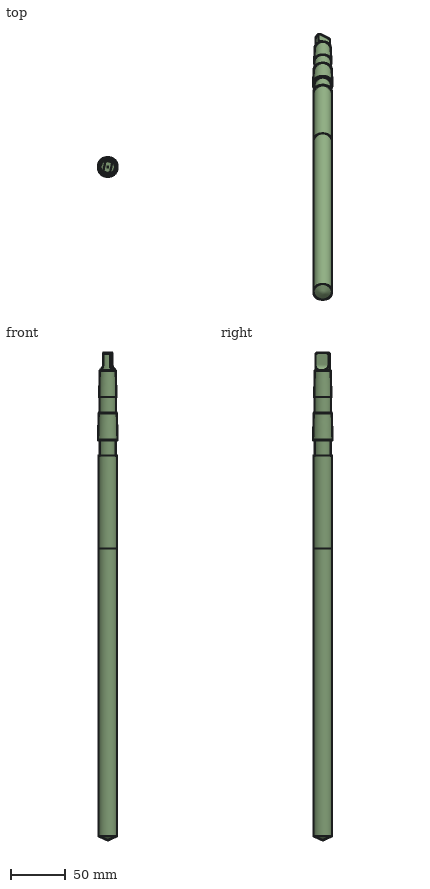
import cadquery as cq
import math

total_length = 445.0

drill_diameter = 17.0
point_angle = 130.0
cutting_length = 266.5

shank_length = 80.0
shank_large_diameter = 18.01
taper_ratio = 0.04995
neck_diameter = 15.0
neck_length = 14.0
relief_diameter = 15.5
relief_start = 40.5
relief_end = 54.8
shoulder_chamfer = 0.8
cone_edge_chamfer = 0.6

tang_length = 16.0
tang_thickness = 6.3
tang_diameter = 13.5
tang_angle = -12.0
tang_runout_radius = 4.8
tang_end_chamfer = 1.4
centre_hole_diameter = 0.6
centre_hole_depth = 3.0

drill_radius = drill_diameter / 2
point_height = drill_radius / math.tan(math.radians(point_angle / 2))
shank_bottom = total_length - shank_length
neck_bottom = shank_bottom - neck_length
tang_bottom = total_length - tang_length


def taper_radius(height):
    """Radius of the Morse cone at a height above the drill tip."""
    return (shank_large_diameter - taper_ratio * (height - shank_bottom)) / 2


def make_cutting_part():
    """Plain cylinder with a conical point."""
    outline = [
        (0, 0),
        (drill_radius, point_height),
        (drill_radius, cutting_length),
        (0, cutting_length),
    ]
    return cq.Workplane("XZ").polyline(outline).close().revolve(360, (0, 0), (0, 1))


def make_shank_blank():
    """Turned shank: body, neck, relieved taper and round tang."""
    neck_radius = neck_diameter / 2
    relief_radius = relief_diameter / 2
    tang_radius = tang_diameter / 2
    relief_bottom = total_length - relief_end
    relief_top = total_length - relief_start
    outline = [
        (0, cutting_length),
        (drill_radius, cutting_length),
        (drill_radius, neck_bottom),
        (neck_radius, neck_bottom),
        (neck_radius, shank_bottom),
        (taper_radius(shank_bottom) - cone_edge_chamfer, shank_bottom),
        (taper_radius(shank_bottom), shank_bottom + cone_edge_chamfer),
        (taper_radius(relief_bottom), relief_bottom - cone_edge_chamfer),
        (taper_radius(relief_bottom) - cone_edge_chamfer, relief_bottom),
        (relief_radius, relief_bottom),
        (relief_radius, relief_top),
        (taper_radius(relief_top), relief_top),
        (taper_radius(tang_bottom), tang_bottom - shoulder_chamfer),
        (taper_radius(tang_bottom) - shoulder_chamfer, tang_bottom),
        (tang_radius, tang_bottom),
        (tang_radius, total_length - tang_end_chamfer),
        (tang_radius - tang_end_chamfer, total_length),
        (0, total_length),
    ]
    return cq.Workplane("XZ").polyline(outline).close().revolve(360, (0, 0), (0, 1))


def make_tang_cutter(side):
    """Material beside one flat of the tang, ending in a concave run-out."""
    flat = side * tang_thickness / 2
    outside = side * (tang_thickness / 2 + tang_runout_radius)
    runout_top = tang_bottom + tang_runout_radius
    return (
        cq.Workplane("XZ")
        .moveTo(flat, total_length)
        .lineTo(flat, runout_top)
        .radiusArc((outside, tang_bottom), -side * tang_runout_radius)
        .lineTo(outside, total_length)
        .close()
        .extrude(drill_diameter, both=True)
    )


def make_shank():
    shank = make_shank_blank()
    for side in (-1, 1):
        shank = shank.cut(make_tang_cutter(side))
    centre_hole = (
        cq.Workplane("XY")
        .workplane(offset=total_length - centre_hole_depth)
        .circle(centre_hole_diameter / 2)
        .extrude(centre_hole_depth)
    )
    return shank.cut(centre_hole).rotate((0, 0, 0), (0, 0, 1), tang_angle)


cutting_part = make_cutting_part()
shank = make_shank()

result = cq.Compound.makeCompound([cutting_part.val(), shank.val()])